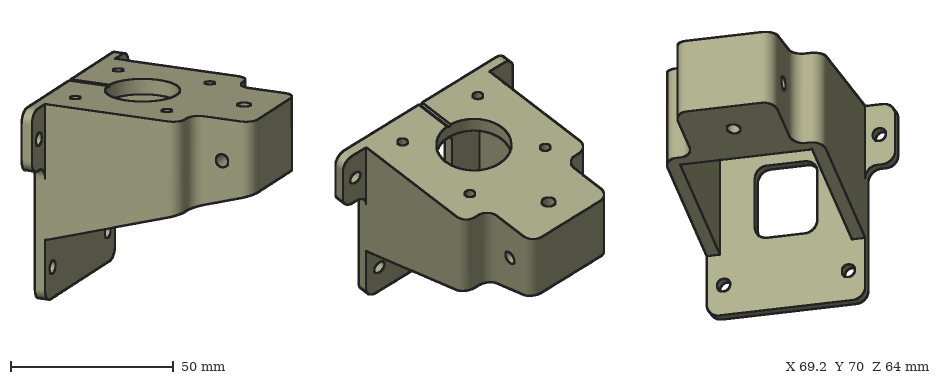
import cadquery as cq

corner_radius = 4.0
screw_diameter = 4.2

plate_thickness = 3.5
plate_height = 64.0
tab_width = 70.0
tab_height = 20.0
upper_screw_spacing = 59.8
upper_screw_depth = 10.0
lower_screw_spacing = 40.0
lower_screw_depth = 54.05
window_width = 20.0
window_top_depth = 16.0
window_height = 23.95

housing_width = 50.8
housing_end = 49.0
pocket_size = 42.3
top_thickness = 5.0
motor_x = plate_thickness + pocket_size / 2
bore_diameter = 23.0
motor_screw_spacing = 31.0
motor_screw_diameter = 3.2

nose_end = 69.2
nose_width = 31.9
nose_hole_x = 59.0
cross_hole_depth = 13.5

depth_at_plate = 43.8
depth_at_nose = 23.5

groove_width = 1.4
groove_depth = groove_width / 2


def block(x_start, x_end, width, height, top=0.0):
    """Box centred on Y, hanging down from the level top."""
    return (
        cq.Workplane("XY", origin=(x_start, 0, top - height))
        .box(x_end - x_start, width, height, centered=(False, True, False))
    )


def make_plate():
    stem = block(0, plate_thickness, housing_width, plate_height)
    tabs = block(0, plate_thickness, tab_width, tab_height)
    return stem.union(tabs).edges("|X").fillet(corner_radius)


def make_housing():
    motor_section = block(0, housing_end, housing_width, depth_at_plate)
    nose = block(0, nose_end, nose_width, depth_at_plate)
    body = motor_section.union(nose)
    body = body.edges("|Z and (not <X)").fillet(corner_radius)

    side_profile = (
        cq.Workplane("XZ")
        .polyline([
            (0, 0),
            (nose_end, 0),
            (nose_end, -depth_at_nose),
            (plate_thickness, -depth_at_plate),
            (0, -depth_at_plate),
        ])
        .close()
        .extrude(housing_width / 2, both=True)
    )
    return body.intersect(side_profile)


def make_pocket():
    """Square motor space, open at the bottom."""
    return block(
        plate_thickness,
        plate_thickness + pocket_size,
        pocket_size,
        plate_height,
        top=-top_thickness,
    )


def make_window():
    window = block(0, plate_thickness, window_width, window_height, top=-window_top_depth)
    return window.edges("|X").fillet(corner_radius)


def make_plate_screw_holes():
    points = []
    for spacing, depth in (
        (upper_screw_spacing, upper_screw_depth),
        (lower_screw_spacing, lower_screw_depth),
    ):
        points += [(-spacing / 2, -depth), (spacing / 2, -depth)]
    return (
        cq.Workplane("YZ")
        .pushPoints(points)
        .circle(screw_diameter / 2)
        .extrude(plate_thickness)
    )


def make_motor_holes():
    motor_face = cq.Workplane("XY", origin=(motor_x, 0, 0))
    bore = motor_face.circle(bore_diameter / 2).extrude(-top_thickness)
    screws = (
        motor_face.rect(motor_screw_spacing, motor_screw_spacing, forConstruction=True)
        .vertices()
        .circle(motor_screw_diameter / 2)
        .extrude(-top_thickness)
    )
    return bore.union(screws)


def make_nose_holes():
    vertical = (
        cq.Workplane("XY", origin=(nose_hole_x, 0, 0))
        .circle(screw_diameter / 2)
        .extrude(-depth_at_plate)
    )
    crosswise = (
        cq.Workplane("XZ", origin=(nose_hole_x, 0, -cross_hole_depth))
        .circle(screw_diameter / 2)
        .extrude(nose_width / 2, both=True)
    )
    return vertical.union(crosswise)


def make_groove():
    """V groove from the plate face into the bore."""
    return (
        cq.Workplane("YZ")
        .polyline([(-groove_width / 2, 0), (groove_width / 2, 0), (0, -groove_depth)])
        .close()
        .extrude(motor_x)
    )


result = (
    make_plate()
    .union(make_housing())
    .cut(make_pocket())
    .cut(make_window())
    .cut(make_plate_screw_holes())
    .cut(make_motor_holes())
    .cut(make_nose_holes())
    .cut(make_groove())
)